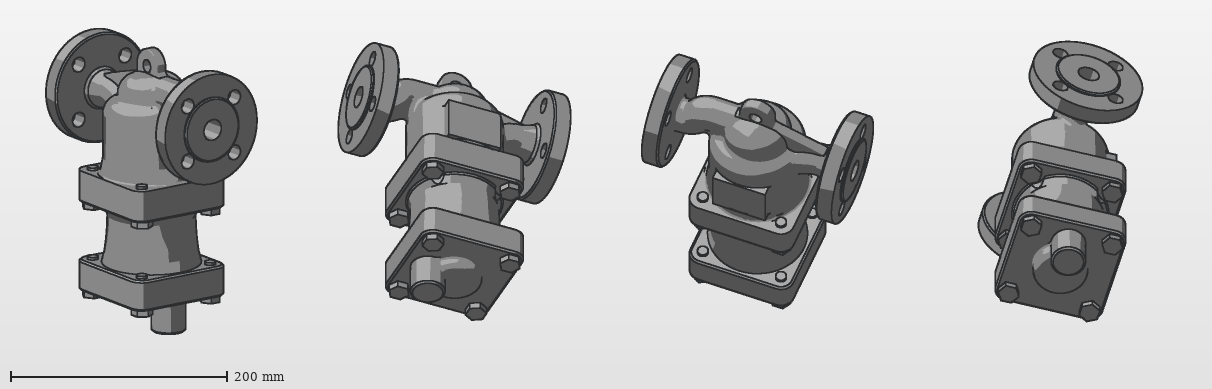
import cadquery as cq
import math


FACE_X = 97.0
RAISED_HEIGHT = 2.5
RAISED_FACE_D = 58.3
RAISED_CHAMFER = 1.5
FLANGE_D = 105.0
FLANGE_THICKNESS = 16.2
FLANGE_CHAMFER = 1.5
FLANGE_BOLT_CIRCLE_D = 75.0
FLANGE_HOLE_D = 14.0
FLANGE_HOLE_COUNT = 4
FLANGE_FIRST_HOLE_ANGLE = 45
BORE_D = 20.0
BORE_DEPTH = 33.0
FLANGE_OUTER_X = FACE_X - RAISED_HEIGHT
FLANGE_INNER_X = FLANGE_OUTER_X - FLANGE_THICKNESS

INLET_ROOT_R = 20.1
INLET_FLARE_R = 18.0
INLET_FLARE_X = -75.5
INLET_PIPE_R = 14.8
INLET_BEND_X = -63.9
INLET_BEND_R = 26.5
INLET_BEND_ANGLE = 26
INLET_END_LENGTH = 16.0
INLET_FILLET = 6.5

OUTLET_PIPE_R = 32.0 / 2
OUTLET_START_X = 2.6
OUTLET_BEND_X = 43.7
OUTLET_BEND_R = 16.5
OUTLET_RISE = 17.2
OUTLET_FILLET = 2.6
OUTLET_BODY_FILLET = 5.3

BODY_R = 90 / 2
SHOULDER_Z = -5.8
SHOULDER_R = 14.0
DOME_R = 31.5
DOME_ROOT_FILLET = 5.3
DOME_MIDDLE = (29.0, 22.3)
DOME_RIM = (20.7, 30.0)
DOME_TOP_Z = 33.5
SKIRT_TOP_Z = -48.0
SKIRT_FOOT = (47.5, -60.1)
SKIRT_FLARE = 2.6

PAD_WIDTH = 52.2
PAD_Y = 46.5
PAD_BOTTOM_Z = -55.0
PAD_TOP_Z = -14.5
PAD_FILLET = 4.0

LUG_Z = 39.7
LUG_R = 16.2
LUG_HOLE_D = 12.0
LUG_THICKNESS = 10.3
LUG_FILLET = 1.0
LUG_FOOT_R = 4.5
RIB_FILLET = 3.2
RIB_START = (-68.5, 16.5)
RIB_LUG_Z = 31.5

PLATE_SIDE = 102.8
PLATE_CORNER_R = 12.5
PLATE_CHAMFER = 1.9
UPPER_PLATE_TOP = -62.8
UPPER_PLATE_BOTTOM = -93.3
LOWER_PLATE_TOP = -149.0
LOWER_PLATE_BOTTOM = -178.3
BOLT_OFFSET = 39.0
BOLT_D = 10.0
BOLT_STICK_OUT = 2.5
HEAD_HEIGHT = 6.4
HEAD_ACROSS_CORNERS = 20.0

WAIST = (41.0, -103.0)
WAIST_TOP = (43.5, -94.9)
WAIST_ROOT_R = 45.0
BELL = (43.7, -138.5)
BELL_FOOT_R = 46.4
SPOTFACE_R = 13.8

CAP_R = 25.5
CAP_ROOT_FILLET = 3.0
CAP_EDGE_R = 7.2
CAP_BOTTOM = -190.2
DRAIN_X = 27.0
DRAIN_D = 32.0
DRAIN_BOTTOM = -209.0
DRAIN_CHAMFER = 1.9
DRAIN_FILLET = 3.2


def arc_point(center, radius, degrees):
    """Point on a circle, angle measured counter-clockwise."""
    angle = math.radians(degrees)
    return (center[0] + radius * math.cos(angle), center[1] + radius * math.sin(angle))


def bolt_points():
    return [(sx * BOLT_OFFSET, sy * BOLT_OFFSET) for sx in (-1, 1) for sy in (-1, 1)]


def upper_body():
    shoulder_center = (BODY_R - SHOULDER_R, SHOULDER_Z)
    root_distance = SHOULDER_R + DOME_ROOT_FILLET
    root_x = DOME_R + DOME_ROOT_FILLET
    shoulder_angle = math.degrees(math.acos((root_x - shoulder_center[0]) / root_distance))
    shoulder_end = arc_point(shoulder_center, SHOULDER_R, shoulder_angle)
    root_center = arc_point(shoulder_center, root_distance, shoulder_angle)
    crown_height = DOME_TOP_Z - DOME_RIM[1]
    crown_radius = (DOME_RIM[0] ** 2 + crown_height ** 2) / (2 * crown_height)
    crown_mid_r = DOME_RIM[0] / 2
    crown_mid_z = DOME_TOP_Z - crown_radius + math.sqrt(crown_radius ** 2 - crown_mid_r ** 2)
    flare_center = (SKIRT_FOOT[0] + SKIRT_FLARE, UPPER_PLATE_TOP + SKIRT_FLARE)
    return (
        cq.Workplane("XZ")
        .moveTo(0, UPPER_PLATE_TOP)
        .lineTo(flare_center[0], UPPER_PLATE_TOP)
        .threePointArc(arc_point(flare_center, SKIRT_FLARE, 225), SKIRT_FOOT)
        .lineTo(BODY_R, SKIRT_TOP_Z)
        .lineTo(BODY_R, SHOULDER_Z)
        .threePointArc(arc_point(shoulder_center, SHOULDER_R, shoulder_angle / 2), shoulder_end)
        .threePointArc(
            arc_point(root_center, DOME_ROOT_FILLET, 180 + shoulder_angle / 2),
            (DOME_R, root_center[1]),
        )
        .threePointArc(DOME_MIDDLE, DOME_RIM)
        .threePointArc((crown_mid_r, crown_mid_z), (0, DOME_TOP_Z))
        .close()
        .revolve(360, (0, 0, 0), (0, 1, 0))
    )


def name_plate_pad():
    return cq.Workplane("XY", origin=(0, 0, PAD_BOTTOM_Z)).box(
        PAD_WIDTH, PAD_Y, PAD_TOP_Z - PAD_BOTTOM_Z, centered=(True, False, False)
    )


def square_plate(bottom, top, chamfered_faces):
    """Two clamped flanges as one square plate with rounded corners."""
    plate = (
        cq.Workplane("XY", origin=(0, 0, bottom))
        .rect(PLATE_SIDE, PLATE_SIDE)
        .extrude(top - bottom)
        .edges("|Z").fillet(PLATE_CORNER_R)
    )
    for face in chamfered_faces:
        plate = plate.faces(face).edges().chamfer(PLATE_CHAMFER)
    return plate


def bolts(bottom, top):
    """Four bolts: hexagon heads below the plates, plain shank ends above."""
    shanks = (
        cq.Workplane("XY", origin=(0, 0, bottom))
        .pushPoints(bolt_points())
        .circle(BOLT_D / 2)
        .extrude(top - bottom + BOLT_STICK_OUT)
    )
    head = (
        cq.Workplane("XY")
        .center(BOLT_OFFSET, -BOLT_OFFSET)
        .polygon(6, HEAD_ACROSS_CORNERS)
        .extrude(-HEAD_HEIGHT)
        .translate((0, 0, bottom))
    )
    for quarter in range(4):
        shanks = shanks.union(head.rotate((0, 0, 0), (0, 0, 1), 90 * quarter))
    return shanks


def middle_body():
    bell_mid = ((WAIST[0] * 3 + BELL[0]) / 4, (WAIST[1] + BELL[1]) / 2)
    body = (
        cq.Workplane("XZ")
        .moveTo(0, UPPER_PLATE_BOTTOM)
        .lineTo(WAIST_ROOT_R, UPPER_PLATE_BOTTOM)
        .lineTo(*WAIST_TOP)
        .lineTo(*WAIST)
        .threePointArc(bell_mid, BELL)
        .lineTo(BELL_FOOT_R, LOWER_PLATE_TOP)
        .lineTo(0, LOWER_PLATE_TOP)
        .close()
        .revolve(360, (0, 0, 0), (0, 1, 0))
    )
    spotfaces = (
        cq.Workplane("XY", origin=(0, 0, WAIST[1]))
        .pushPoints(bolt_points())
        .circle(SPOTFACE_R)
        .extrude(UPPER_PLATE_BOTTOM - WAIST[1])
    )
    return body.cut(spotfaces)


def bottom_cap():
    root_center = (CAP_R + CAP_ROOT_FILLET, LOWER_PLATE_BOTTOM - CAP_ROOT_FILLET)
    edge_center = (CAP_R - CAP_EDGE_R, CAP_BOTTOM + CAP_EDGE_R)
    cap = (
        cq.Workplane("XZ")
        .moveTo(0, LOWER_PLATE_BOTTOM)
        .lineTo(root_center[0], LOWER_PLATE_BOTTOM)
        .threePointArc(arc_point(root_center, CAP_ROOT_FILLET, 135), (CAP_R, root_center[1]))
        .lineTo(CAP_R, edge_center[1])
        .threePointArc(arc_point(edge_center, CAP_EDGE_R, -45), (edge_center[0], CAP_BOTTOM))
        .lineTo(0, CAP_BOTTOM)
        .close()
        .revolve(360, (0, 0, 0), (0, 1, 0))
    )
    drain = (
        cq.Workplane("XY", origin=(DRAIN_X, 0, DRAIN_BOTTOM))
        .circle(DRAIN_D / 2)
        .extrude(LOWER_PLATE_BOTTOM - DRAIN_BOTTOM)
        .faces("<Z").edges().chamfer(DRAIN_CHAMFER)
    )
    return cap.union(drain).edges("%BSPLINE").fillet(DRAIN_FILLET)


def pipe_flange(side):
    """Flange with a raised face; side is -1 for the inlet and 1 for the outlet."""
    disc = (
        cq.Workplane("YZ", origin=(FLANGE_INNER_X, 0, 0))
        .circle(FLANGE_D / 2)
        .extrude(FLANGE_THICKNESS)
        .faces("<X").edges().chamfer(FLANGE_CHAMFER)
    )
    raised_face = (
        cq.Workplane("YZ", origin=(FLANGE_OUTER_X, 0, 0))
        .circle(RAISED_FACE_D / 2 + RAISED_CHAMFER)
        .extrude(RAISED_HEIGHT)
        .faces(">X").edges().chamfer(RAISED_HEIGHT / 2, RAISED_CHAMFER)
    )
    holes = (
        cq.Workplane("YZ", origin=(FLANGE_INNER_X, 0, 0))
        .polarArray(FLANGE_BOLT_CIRCLE_D / 2, FLANGE_FIRST_HOLE_ANGLE, 360, FLANGE_HOLE_COUNT)
        .circle(FLANGE_HOLE_D / 2)
        .extrude(FLANGE_THICKNESS)
    )
    flange = disc.union(raised_face).cut(holes)
    return flange if side > 0 else flange.mirror("YZ")


def bore(side):
    return cq.Workplane("YZ", origin=(side * FACE_X, 0, 0)).circle(BORE_D / 2).extrude(-side * BORE_DEPTH)


def inlet_neck():
    """Tapering neck that bends down into the side of the body."""
    flare = (
        cq.Workplane("XZ")
        .moveTo(-FLANGE_INNER_X, 0)
        .lineTo(-FLANGE_INNER_X, INLET_ROOT_R)
        .lineTo(INLET_FLARE_X, INLET_FLARE_R)
        .lineTo(INLET_BEND_X, INLET_PIPE_R)
        .lineTo(INLET_BEND_X, 0)
        .close()
        .revolve(360, (0, 0, 0), (1, 0, 0))
    )
    bend = (
        cq.Workplane("YZ", origin=(INLET_BEND_X, 0, 0))
        .circle(INLET_PIPE_R)
        .revolve(INLET_BEND_ANGLE, (0, -INLET_BEND_R, 0), (1, -INLET_BEND_R, 0))
    )
    bend_end = arc_point((INLET_BEND_X, -INLET_BEND_R), INLET_BEND_R, 90 - INLET_BEND_ANGLE)
    angle = math.radians(INLET_BEND_ANGLE)
    end_plane = cq.Plane(
        origin=(bend_end[0], 0, bend_end[1]),
        xDir=(0, 1, 0),
        normal=(math.cos(angle), 0, -math.sin(angle)),
    )
    straight_end = cq.Workplane(end_plane).circle(INLET_PIPE_R).extrude(INLET_END_LENGTH)
    return flare.union(bend).union(straight_end)


def outlet_pipe():
    """Pipe that leaves the dome and drops to the flange axis in an S-bend of two equal arcs."""
    bend_angle = math.acos(1 - OUTLET_RISE / (2 * OUTLET_BEND_R))
    half_run = OUTLET_BEND_R * math.sin(bend_angle)
    half_angle = math.degrees(bend_angle) / 2
    first_center = (OUTLET_BEND_X, OUTLET_RISE - OUTLET_BEND_R)
    second_center = (OUTLET_BEND_X + 2 * half_run, OUTLET_BEND_R)
    path = (
        cq.Workplane("XZ")
        .moveTo(OUTLET_START_X, OUTLET_RISE)
        .lineTo(OUTLET_BEND_X, OUTLET_RISE)
        .threePointArc(
            arc_point(first_center, OUTLET_BEND_R, 90 - half_angle),
            (OUTLET_BEND_X + half_run, OUTLET_RISE / 2),
        )
        .threePointArc(
            arc_point(second_center, OUTLET_BEND_R, 270 - half_angle),
            (second_center[0], 0),
        )
        .lineTo(FLANGE_INNER_X, 0)
    )
    pipe = (
        cq.Workplane("YZ", origin=(OUTLET_START_X, 0, OUTLET_RISE))
        .circle(OUTLET_PIPE_R)
        .sweep(path)
    )
    fillet_center = (FLANGE_INNER_X - OUTLET_FILLET, OUTLET_PIPE_R + OUTLET_FILLET)
    root = (
        cq.Workplane("XZ")
        .moveTo(fillet_center[0], 0)
        .lineTo(fillet_center[0], OUTLET_PIPE_R)
        .threePointArc(arc_point(fillet_center, OUTLET_FILLET, -45), (FLANGE_INNER_X, fillet_center[1]))
        .lineTo(FLANGE_INNER_X, 0)
        .close()
        .revolve(360, (0, 0, 0), (1, 0, 0))
    )
    return pipe.union(root)


def lug_and_rib():
    """Lifting lug with a sloping rib that runs down to the inlet neck."""
    lug_foot = (LUG_R + LUG_FOOT_R, OUTLET_RISE + OUTLET_PIPE_R)
    foot_center = (lug_foot[0], lug_foot[1] + LUG_FOOT_R)
    return (
        cq.Workplane("XZ", origin=(0, LUG_THICKNESS / 2, 0))
        .moveTo(RIB_START[0], 0)
        .lineTo(*RIB_START)
        .lineTo(-LUG_R, RIB_LUG_Z)
        .lineTo(-LUG_R, LUG_Z)
        .threePointArc((0, LUG_Z + LUG_R), (LUG_R, LUG_Z))
        .lineTo(LUG_R, foot_center[1])
        .threePointArc(arc_point(foot_center, LUG_FOOT_R, 225), lug_foot)
        .lineTo(lug_foot[0], 0)
        .close()
        .extrude(LUG_THICKNESS)
        .edges(cq.NearestToPointSelector((-LUG_R, 0, RIB_LUG_Z))).fillet(RIB_FILLET)
        .faces("<Y or >Y").edges().fillet(LUG_FILLET)
    )


def lug_hole():
    return (
        cq.Workplane("XZ", origin=(0, LUG_THICKNESS / 2, LUG_Z))
        .circle(LUG_HOLE_D / 2)
        .extrude(LUG_THICKNESS)
    )


def joined_body():
    """Upper body with both pipes and the name plate pad blended into it."""
    inlet_joint = cq.selectors.BoxSelector((-BODY_R, -BODY_R, SKIRT_TOP_Z), (0, BODY_R, DOME_TOP_Z))
    outlet_joint = cq.selectors.BoxSelector((0, -BODY_R, SKIRT_TOP_Z), (BODY_R, BODY_R, DOME_TOP_Z))
    pad_reach = PAD_WIDTH / 2 + PAD_FILLET
    pad_sides = cq.selectors.BoxSelector((-pad_reach, 0, PAD_BOTTOM_Z), (pad_reach, BODY_R, PAD_TOP_Z))
    return (
        upper_body()
        .union(outlet_pipe())
        .edges(outlet_joint).edges("%BSPLINE").fillet(OUTLET_BODY_FILLET)
        .union(inlet_neck())
        .edges(inlet_joint).edges("%BSPLINE").fillet(INLET_FILLET)
        .union(name_plate_pad())
        .edges(pad_sides).edges("|Z or %HYPERBOLA").fillet(PAD_FILLET)
    )


result = (
    joined_body()
    .union(lug_and_rib())
    .cut(lug_hole())
    .union(square_plate(UPPER_PLATE_BOTTOM, UPPER_PLATE_TOP, ["<Z"]))
    .union(bolts(UPPER_PLATE_BOTTOM, UPPER_PLATE_TOP))
    .union(middle_body())
    .union(square_plate(LOWER_PLATE_BOTTOM, LOWER_PLATE_TOP, ["<Z", ">Z"]))
    .union(bolts(LOWER_PLATE_BOTTOM, LOWER_PLATE_TOP))
    .union(bottom_cap())
)
for flange_side in (-1, 1):
    result = result.union(pipe_flange(flange_side)).cut(bore(flange_side))